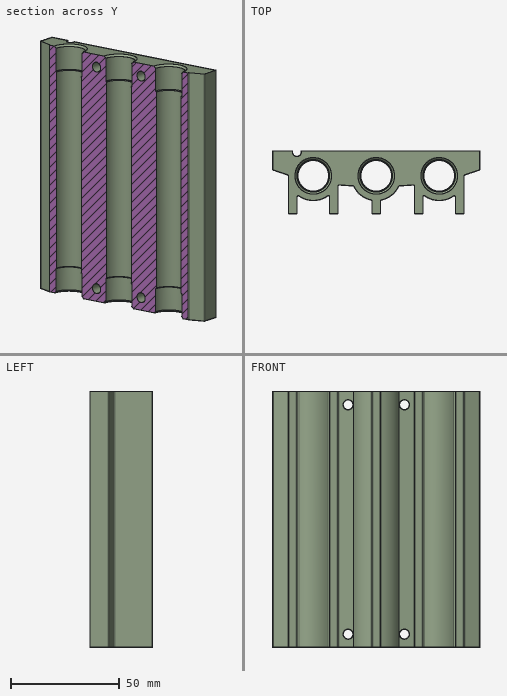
import cadquery as cq
import math

length = 118.0
width = 95.6
depth = 29.0

bore_pitch = 29.0
bore_y = -11.5
bore_diameter = 14.2
mouth_diameter = 15.0
mouth_depth = 11.8
countersink_diameter = 16.9
boss_radius = 11.5

fin_thickness = 4.0
flange_edge_y = -8.7
flange_root_y = -11.2
web_fin_y = -15.7
web_boss_y = -16.2
corner_radius = 0.5
edge_match_tolerance = 0.1

hole_diameter = 4.5
hole_offset = 13.0
hole_from_end = 6.1
groove_diameter = 4.0
groove_axis_y = -0.5
groove_x = -36.6


def boss_reach(distance):
    """Distance along one axis to the boss surface, given that along the other axis."""
    return math.sqrt(boss_radius**2 - distance**2)


def make_half_profile():
    """Right half of the finned bar, up to the symmetry plane X = 0."""
    tip_y = -depth
    outer_fin_x = bore_pitch + boss_radius
    inner_fin_x = bore_pitch - boss_radius
    valley_offset = boss_radius - fin_thickness
    valley_y = bore_y - boss_reach(valley_offset)
    boss_edge_x = boss_reach(web_boss_y - bore_y)
    middle_fin_x = fin_thickness / 2
    middle_root_y = bore_y - boss_reach(middle_fin_x)
    arc_x = (boss_edge_x + middle_fin_x) / 2
    return (
        cq.Workplane("XY")
        .moveTo(0, 0)
        .lineTo(width / 2, 0)
        .lineTo(width / 2, flange_edge_y)
        .lineTo(outer_fin_x, flange_root_y)
        .lineTo(outer_fin_x, tip_y)
        .lineTo(outer_fin_x - fin_thickness, tip_y)
        .lineTo(bore_pitch + valley_offset, valley_y)
        .threePointArc((bore_pitch, bore_y - boss_radius), (bore_pitch - valley_offset, valley_y))
        .lineTo(inner_fin_x + fin_thickness, tip_y)
        .lineTo(inner_fin_x, tip_y)
        .lineTo(inner_fin_x, web_fin_y)
        .lineTo(boss_edge_x, web_boss_y)
        .threePointArc((arc_x, bore_y - boss_reach(arc_x)), (middle_fin_x, middle_root_y))
        .lineTo(middle_fin_x, tip_y)
        .lineTo(0, tip_y)
        .close()
        .extrude(length)
    )


def is_rounded(edge):
    """True for lengthwise edges of fins and flanges, but not the back or the web-to-boss edges."""
    center = edge.Center()
    on_back = center.y > flange_edge_y / 2
    on_web = abs(center.y - web_boss_y) < edge_match_tolerance
    return not (on_back or on_web)


def make_body():
    """Full mirrored bar with its lengthwise edges rounded."""
    half = make_half_profile()
    body = half.union(half.mirror("YZ")).clean()
    rounded_edges = [edge for edge in body.edges("|Z").vals() if is_rounded(edge)]
    return body.newObject(rounded_edges).fillet(corner_radius)


def bore_end_cutter():
    """Revolved lower half of a bore: countersink, wide mouth, sloped shoulder, then the bore."""
    bore_radius = bore_diameter / 2
    mouth_radius = mouth_diameter / 2
    countersink_radius = countersink_diameter / 2
    countersink_depth = countersink_radius - mouth_radius
    shoulder_end = mouth_depth + mouth_radius - bore_radius
    return (
        cq.Workplane("XZ")
        .moveTo(0, 0)
        .lineTo(countersink_radius, 0)
        .lineTo(mouth_radius, countersink_depth)
        .lineTo(mouth_radius, mouth_depth)
        .lineTo(bore_radius, shoulder_end)
        .lineTo(bore_radius, length / 2)
        .lineTo(0, length / 2)
        .close()
        .revolve(360, (0, 0, 0), (0, 1, 0))
    )


def bore_cutter(x):
    """Through bore at the given X, with the same mouth at both ends."""
    lower_half = bore_end_cutter()
    upper_half = lower_half.mirror("XY", (0, 0, length / 2))
    return lower_half.union(upper_half).translate((x, bore_y, 0))


def mounting_hole(x, z):
    """Round hole from the back face out through the web."""
    return cq.Workplane("XZ").center(x, z).circle(hole_diameter / 2).extrude(depth)


result = make_body()

for bore_x in (-bore_pitch, 0, bore_pitch):
    result = result.cut(bore_cutter(bore_x))

for hole_x in (-hole_offset, hole_offset):
    for hole_z in (hole_from_end, length - hole_from_end):
        result = result.cut(mounting_hole(hole_x, hole_z))

groove = cq.Workplane("XY").center(groove_x, groove_axis_y).circle(groove_diameter / 2).extrude(length)
result = result.cut(groove)